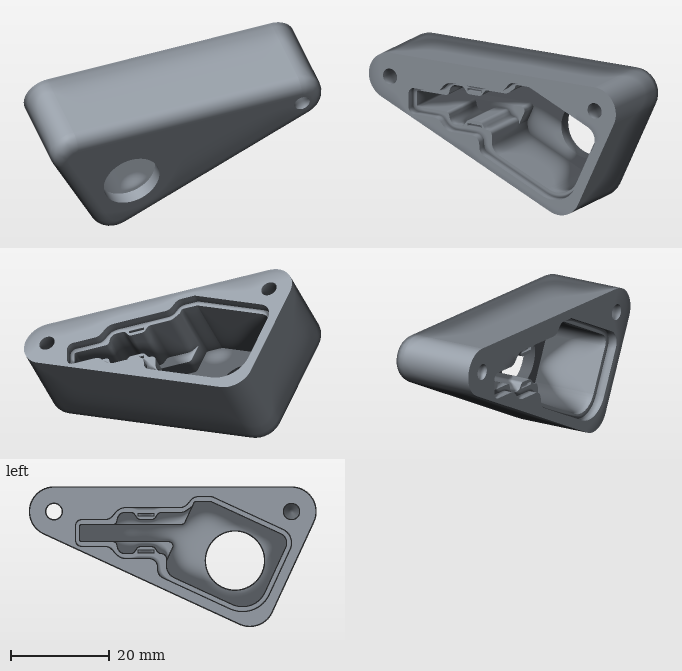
import cadquery as cq
import math


DEPTH = 19.0
LENGTH = 58.15
HEIGHT = 28.3
CORNER_R = 5.0
EDGE_FILLET = 2.9

MOUNT_HOLE_D = 3.3
BLIND_HOLE_DEPTH = 11.65
BLIND_TIP_ANGLE = 118.0
PORT_D = 12.0
PORT_Y = -12.6
PORT_Z = -9.95

LID_SEAT_DEPTH = 2.0
LOBE_DEPTH = 12.8
FLOOR_DEPTH = 16.3

RIM = 2.05
LEDGE = 1.0
SEAT_SPAN = 19.15
SEAT_TOP_Z = 3.0
SEAT_NECK_Y = 3.1
CHAMBER_NECK_Y = 1.3

ARM_Z = -4.35
ARM_HALF = 1.75
ARM_END_Y = 18.9
ARM_END_R = 0.4
SEAT_END_Y = 19.7
SEAT_END_R = 1.3
ARM_TOP_MOUTH_Y = -2.25
ARM_BOTTOM_MOUTH_Y = -0.5
ARM_MOUTH_R = 0.9
CHAMBER_SHOULDER_R = 0.45

LOBE_HALF = 4.2
LOBE_START_Y = 11.5
LOBE_SHOULDER_Y = 10.9
LOBE_ENTRY_R = 0.7
LOBE_SHOULDER_R = 1.5
PAD_Y = 5.4
PAD_TOP_HALF_LENGTH = 1.55
PAD_BASE_HALF_LENGTH = 2.6
PAD_R = 1.0
TOP_FLARE_START_Y = -2.25
TOP_FLARE_END_Y = -4.2
TOP_FLARE_END_Z = 1.2
SEAT_LOBE_START_Y = 12.85
SEAT_LOBE_SHOULDER_Y = 10.7
SEAT_FLARE_START_Y = -2.45
SEAT_FLARE_END_Y = -4.25

SEAT_BEND_R = 2.0
SEAT_SHOULDER_R = 2.7
SEAT_NECK_R = 1.7
TOP_BEND_R = 0.9
SEAT_SIDE_R = 3.0
SEAT_BOTTOM_R = 6.0
CHAMBER_NECK_R = 2.7

SLIT_LENGTH = 3.25
SLIT_WIDTH = 0.6
SLIT_OFFSET = 3.7
SLIT_DEPTH = 1.75

mount_y = LENGTH / 2 - CORNER_R
corner_z = 2 * CORNER_R - HEIGHT
corner_y = -math.sqrt(mount_y**2 - corner_z**2)
tilt = math.atan2(-corner_z, mount_y - corner_y)
seat_half = ARM_HALF + LEDGE
seat_lobe_half = LOBE_HALF + LEDGE
neck_z = ARM_Z - ARM_HALF - (CHAMBER_NECK_Y - ARM_BOTTOM_MOUTH_Y) / math.tan(tilt)
seat_wall = CORNER_R - RIM
chamber_wall = seat_wall - LEDGE


def wall_point(along, across):
    """Point measured from the lower corner axis along and across the long sloping side."""
    y = corner_y - along * math.cos(tilt) - across * math.sin(tilt)
    z = corner_z - along * math.sin(tilt) + across * math.cos(tilt)
    return y, z


def on_slope_at_z(across, z):
    """Point at height z on a wall parallel to the long sloping side."""
    y0, z0 = wall_point(0, across)
    return y0 + (z - z0) / math.tan(tilt), z


def on_slope_at_y(across, y):
    """Point at position y on a wall parallel to the long sloping side."""
    y0, z0 = wall_point(0, across)
    return y, z0 + (y - y0) * math.tan(tilt)


def rounded_prism(corners, depth):
    """Extrude a polygon of ((y, z), radius) corners from X = 0, rounding each corner."""
    path = []
    for i, (corner, radius) in enumerate(corners):
        vertex = cq.Vector(*corner)
        to_last = (cq.Vector(*corners[i - 1][0]) - vertex).normalized()
        to_next = (cq.Vector(*corners[(i + 1) % len(corners)][0]) - vertex).normalized()
        half_angle = to_last.getAngle(to_next) / 2
        setback = radius / math.tan(half_angle)
        bisector = (to_last + to_next).normalized()
        middle = vertex + bisector * (radius / math.sin(half_angle) - radius)
        path.append((vertex + to_last * setback, middle, vertex + to_next * setback, radius))

    sketch = cq.Workplane("YZ").moveTo(path[0][2].x, path[0][2].y)
    for start, middle, end, radius in path[1:] + path[:1]:
        sketch = sketch.lineTo(start.x, start.y)
        if radius > 0:
            sketch = sketch.threePointArc((middle.x, middle.y), (end.x, end.y))
    return sketch.close().extrude(depth)


def drill(y, z, diameter, depth):
    return cq.Workplane("YZ").center(y, z).circle(diameter / 2).extrude(depth)


def body():
    top_across = (CORNER_R - wall_point(CORNER_R, 0)[1]) / math.cos(tilt)
    triangle = [
        (on_slope_at_z(-CORNER_R, CORNER_R), CORNER_R),
        (wall_point(CORNER_R, -CORNER_R), CORNER_R),
        (wall_point(CORNER_R, top_across), CORNER_R),
    ]
    return rounded_prism(triangle, DEPTH).faces(">X").edges().fillet(EDGE_FILLET)


def lid_seat():
    roof = SEAT_SPAN - seat_wall
    corners = [
        ((SEAT_END_Y, ARM_Z + seat_half), SEAT_END_R),
        ((SEAT_LOBE_START_Y, ARM_Z + seat_half), SEAT_BEND_R),
        ((SEAT_LOBE_SHOULDER_Y, ARM_Z + seat_lobe_half), SEAT_SHOULDER_R),
        ((SEAT_FLARE_START_Y, ARM_Z + seat_lobe_half), SEAT_BEND_R),
        ((SEAT_FLARE_END_Y, SEAT_TOP_Z), SEAT_BEND_R),
        (on_slope_at_z(roof, SEAT_TOP_Z), TOP_BEND_R),
        (wall_point(seat_wall, roof), SEAT_SIDE_R),
        (wall_point(seat_wall, -seat_wall), SEAT_BOTTOM_R),
        (on_slope_at_y(-seat_wall, SEAT_NECK_Y), SEAT_BEND_R),
        ((SEAT_NECK_Y, ARM_Z - seat_lobe_half), SEAT_NECK_R),
        ((SEAT_LOBE_SHOULDER_Y, ARM_Z - seat_lobe_half), SEAT_SHOULDER_R),
        ((SEAT_LOBE_START_Y, ARM_Z - seat_half), SEAT_BEND_R),
        ((SEAT_END_Y, ARM_Z - seat_half), SEAT_END_R),
    ]
    return rounded_prism(corners, LID_SEAT_DEPTH)


def chamber():
    roof = SEAT_SPAN - LEDGE - seat_wall
    chamber_top = SEAT_TOP_Z - LEDGE
    shoulder_y = ARM_TOP_MOUTH_Y - (chamber_top - ARM_Z - ARM_HALF) * math.tan(tilt)
    corners = [
        ((ARM_END_Y, ARM_Z + ARM_HALF), ARM_END_R),
        ((ARM_TOP_MOUTH_Y, ARM_Z + ARM_HALF), ARM_MOUTH_R),
        ((shoulder_y, chamber_top), CHAMBER_SHOULDER_R),
        (on_slope_at_z(roof, chamber_top), 0),
        (wall_point(chamber_wall, roof), SEAT_SIDE_R - LEDGE),
        (wall_point(chamber_wall, -chamber_wall), SEAT_BOTTOM_R - LEDGE),
        (on_slope_at_y(-chamber_wall, CHAMBER_NECK_Y), CHAMBER_NECK_R),
        ((CHAMBER_NECK_Y, neck_z), 0),
        ((ARM_BOTTOM_MOUTH_Y, ARM_Z - ARM_HALF), ARM_MOUTH_R),
        ((ARM_END_Y, ARM_Z - ARM_HALF), ARM_END_R),
    ]
    return rounded_prism(corners, FLOOR_DEPTH)


def pinched_side(side):
    """Wall of one lobe from the arm past its pad; side is +1 above and -1 below the arm."""
    arm_edge = ARM_Z + side * ARM_HALF
    lobe_edge = ARM_Z + side * LOBE_HALF
    pad_edge = ARM_Z + side * seat_half
    return [
        ((ARM_END_Y - LEDGE, arm_edge), 0),
        ((LOBE_START_Y, arm_edge), LOBE_ENTRY_R),
        ((LOBE_SHOULDER_Y, lobe_edge), LOBE_SHOULDER_R),
        ((PAD_Y + PAD_BASE_HALF_LENGTH, lobe_edge), PAD_R),
        ((PAD_Y + PAD_TOP_HALF_LENGTH, pad_edge), PAD_R),
        ((PAD_Y - PAD_TOP_HALF_LENGTH, pad_edge), PAD_R),
        ((PAD_Y - PAD_BASE_HALF_LENGTH, lobe_edge), PAD_R),
    ]


def lobes():
    chamber_side = [
        ((TOP_FLARE_START_Y, ARM_Z + LOBE_HALF), SEAT_BEND_R),
        ((TOP_FLARE_END_Y, TOP_FLARE_END_Z), 0),
        ((TOP_FLARE_END_Y, neck_z), 0),
        ((CHAMBER_NECK_Y, neck_z), 0),
        ((CHAMBER_NECK_Y, ARM_Z - LOBE_HALF), PAD_R),
    ]
    return rounded_prism(pinched_side(1) + chamber_side + pinched_side(-1)[::-1], LOBE_DEPTH)


def slits():
    centers = [(PAD_Y, ARM_Z + SLIT_OFFSET), (PAD_Y, ARM_Z - SLIT_OFFSET)]
    sketch = cq.Workplane("YZ").workplane(offset=LID_SEAT_DEPTH).pushPoints(centers)
    return sketch.rect(SLIT_LENGTH, SLIT_WIDTH).extrude(SLIT_DEPTH)


def blind_mount_hole():
    radius = MOUNT_HOLE_D / 2
    tip = radius / math.tan(math.radians(BLIND_TIP_ANGLE / 2))
    profile = [(0, 0), (0, radius), (BLIND_HOLE_DEPTH, radius), (BLIND_HOLE_DEPTH + tip, 0)]
    bit = cq.Workplane("XY").polyline(profile).close().revolve(360, (0, 0), (1, 0))
    return bit.translate((0, -mount_y, 0))


result = (
    body()
    .cut(lid_seat())
    .cut(lobes())
    .cut(chamber())
    .cut(slits())
    .cut(drill(mount_y, 0, MOUNT_HOLE_D, DEPTH))
    .cut(blind_mount_hole())
    .cut(drill(PORT_Y, PORT_Z, PORT_D, DEPTH))
)